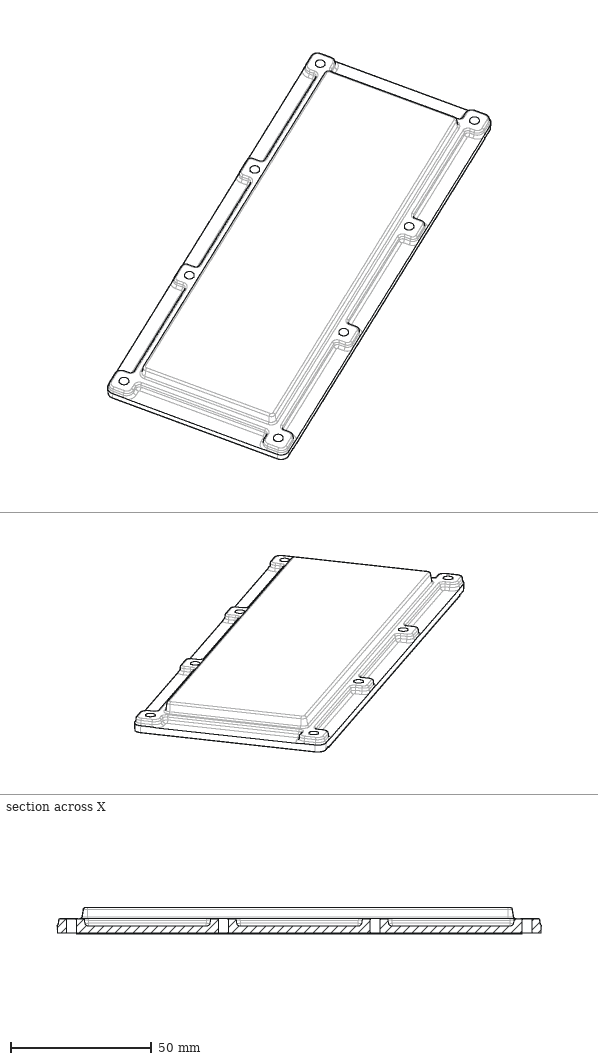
import cadquery as cq
import math

width = 71.5
length = 173.0
height = 9.5

foot_height = 0.3
foot_width = 1.0
foot_length = 159.2
flange_top = 3.0
flange_corner_radius = 3.1
flange_draft = 3.0
flange_setback = (flange_top - foot_height) * math.tan(math.radians(flange_draft))
foot_x = (width - foot_width) / 2 - flange_setback

rim_top = 5.5
rim_inset_x = 6.0
rim_inset_y = 6.4
rim_width = width - 2 * rim_inset_x
rim_length = length - 2 * rim_inset_y
hole_inset = 5.2
hole_diameter = 3.5
boss_half = 4.8
boss_edge_gap = hole_inset - boss_half
corner_boss_radius = flange_corner_radius - boss_edge_gap
side_boss_radius = 2.0
rim_draft = 6.0
rim_base_fillet = 1.0
rim_top_fillet = 0.7
rim_inner_radius = 1.4

plateau_inset_x = 9.2
plateau_inset_front = 9.9
plateau_inset_back = 8.8
plateau_width = width - 2 * plateau_inset_x
plateau_length = length - plateau_inset_front - plateau_inset_back
plateau_centre_y = (plateau_inset_front - plateau_inset_back) / 2
plateau_draft = 9.0
plateau_corner_radius = 2.0
plateau_base_fillet = 0.7
plateau_top_fillet = 0.9

selection_margin = 0.09

holes_per_side = 4
hole_x = width / 2 - hole_inset
hole_y = length / 2 - hole_inset
hole_pitch = 2 * hole_y / (holes_per_side - 1)
side_hole_ys = [-hole_y + i * hole_pitch for i in range(1, holes_per_side - 1)]


def block(size_x, size_y, bottom, top):
    """Box centred on the Z axis between two levels."""
    return (
        cq.Workplane("XY")
        .workplane(offset=bottom)
        .rect(size_x, size_y)
        .extrude(top - bottom)
    )


def drafted_rectangle(size_x, size_y, corner_radius, bottom, top, draft):
    """Rounded rectangle centred on the Z axis, leaning inward as it rises."""
    outline = cq.Sketch().rect(size_x, size_y).vertices().fillet(corner_radius)
    base_plane = cq.Workplane("XY").workplane(offset=bottom)
    return base_plane.placeSketch(outline).extrude(top - bottom, taper=draft)


def boss(x, y, corner_radius):
    """Square screw boss at one hole position, without its hole."""
    side = 2 * boss_half
    body = drafted_rectangle(side, side, corner_radius, flange_top, rim_top, rim_draft)
    return body.translate((x, y, 0))


def make_rim():
    """Drafted rim joined with all screw bosses, with the inner corners between them rounded."""
    rim = cq.Workplane("XY").workplane(offset=flange_top).rect(rim_width, rim_length)
    rim = rim.extrude(rim_top - flange_top, taper=rim_draft)
    for sx in (-1, 1):
        for y in (-hole_y, hole_y):
            rim = rim.union(boss(sx * hole_x, y, corner_boss_radius))
        for y in side_hole_ys:
            rim = rim.union(boss(sx * hole_x, y, side_boss_radius))
    reach_x = rim_width / 2 + selection_margin
    reach_y = rim_length / 2 + selection_margin
    inner_corners = cq.selectors.BoxSelector(
        (-reach_x, -reach_y, flange_top + selection_margin),
        (reach_x, reach_y, rim_top - selection_margin),
    )
    return rim.clean().edges(inner_corners).fillet(rim_inner_radius)


def make_envelope():
    """Outer limit of the flange and bosses: straight above the flange top, drafted inward below it."""
    outline = cq.Sketch().rect(width, length).vertices().fillet(flange_corner_radius)
    top_plane = cq.Workplane("XY").workplane(offset=flange_top)
    upper = top_plane.placeSketch(outline).extrude(height - flange_top)
    lower = top_plane.placeSketch(outline).extrude(foot_height - flange_top, taper=flange_draft)
    return upper.union(lower)


def make_base():
    """Flange with the filleted rim and bosses on top and the two feet below."""
    oversize = 4 * rim_base_fillet
    plate = block(width + oversize, length + oversize, foot_height, flange_top)
    body = plate.union(make_rim())
    body = body.faces(">Z").edges().fillet(rim_top_fillet)
    at_rim_foot = cq.selectors.BoxSelector(
        (-width / 2, -length / 2, flange_top - selection_margin),
        (width / 2, length / 2, flange_top + selection_margin),
    )
    body = body.edges(at_rim_foot).fillet(rim_base_fillet)
    body = body.intersect(make_envelope())
    for sx in (-1, 1):
        foot = block(foot_width, foot_length, 0, foot_height)
        body = body.union(foot.translate((sx * foot_x, 0, 0)))
    return body


def add_plateau(body):
    """Drafted central plateau with rounded top and base edges."""
    plateau = (
        drafted_rectangle(
            plateau_width, plateau_length, plateau_corner_radius, rim_top, height, plateau_draft
        )
        .translate((0, plateau_centre_y, 0))
        .faces(">Z")
        .edges()
        .fillet(plateau_top_fillet)
    )
    reach_x = plateau_width / 2 + selection_margin
    reach_y = plateau_length / 2 + selection_margin
    at_plateau_foot = cq.selectors.BoxSelector(
        (-reach_x, plateau_centre_y - reach_y, rim_top - selection_margin),
        (reach_x, plateau_centre_y + reach_y, rim_top + selection_margin),
    )
    return body.union(plateau).edges(at_plateau_foot).fillet(plateau_base_fillet)


def drill_holes(body):
    """Through holes at the centres of all screw bosses."""
    points = [(sx * hole_x, y) for sx in (-1, 1) for y in (-hole_y, *side_hole_ys, hole_y)]
    holes = cq.Workplane("XY").pushPoints(points).circle(hole_diameter / 2).extrude(height)
    return body.cut(holes)


result = drill_holes(add_plateau(make_base()))